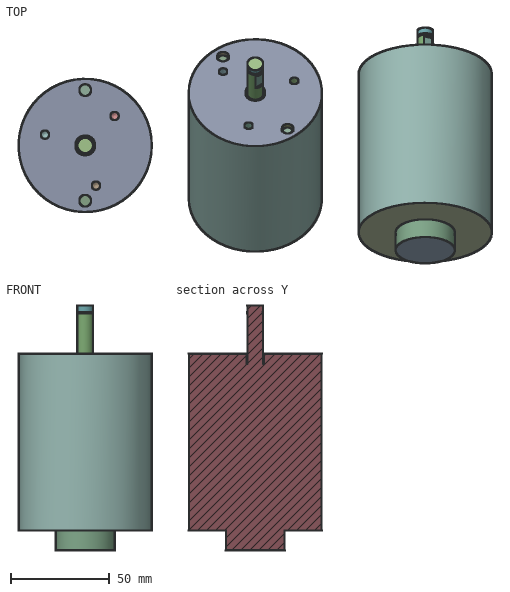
import cadquery as cq
import math

overall_height = 123.9
boss_height = 10.0
shaft_length = 24.4
body_height = overall_height - boss_height - shaft_length
body_top = boss_height + body_height

body_diameter = 67.5
boss_diameter = 30.0
shaft_diameter = 8.0

recess_diameter = 10.0
recess_depth = 0.1
bore_diameter = 8.8
bore_depth = 5.0

pin_hole_diameter = 6.0
pin_hole_depth = 3.0
pin_hole_offset = 28.0

mount_hole_diameter = 4.2
mount_hole_depth = 10.0
mount_circle_radius = 21.1
mount_first_angle = 45.0
mount_hole_count = 3
drill_point_angle = 118.0

ring_groove_offset = 3.2
ring_groove_width = 0.7
ring_groove_depth = 0.1

flat_offset = 5.0
flat_length = 10.0
flat_depth = 0.7


def cylinder(diameter, base_z, height):
    """Cylinder on the Z axis, starting at base_z."""
    base = cq.Workplane("XY").workplane(offset=base_z)
    return base.circle(diameter / 2).extrude(height)


def drilled_hole(diameter, depth):
    """Blind hole below the body top, ending in a conical drill point."""
    radius = diameter / 2
    point_height = radius / math.tan(math.radians(drill_point_angle / 2))
    profile = [
        (0, body_top),
        (radius, body_top),
        (radius, body_top - depth),
        (0, body_top - depth - point_height),
    ]
    return cq.Workplane("XZ").polyline(profile).close().revolve(360, (0, 0, 0), (0, 1, 0))


def make_body():
    """Housing with its rear boss and the holes in its top face."""
    body = cylinder(body_diameter, boss_height, body_height)
    body = body.union(cylinder(boss_diameter, 0, boss_height))
    body = body.cut(cylinder(recess_diameter, body_top - recess_depth, recess_depth))
    body = body.cut(cylinder(bore_diameter, body_top - bore_depth, bore_depth))

    pin_hole = cylinder(pin_hole_diameter, body_top - pin_hole_depth, pin_hole_depth)
    for side in (-1, 1):
        body = body.cut(pin_hole.translate((0, side * pin_hole_offset, 0)))

    mount_hole = drilled_hole(mount_hole_diameter, mount_hole_depth)
    for index in range(mount_hole_count):
        angle = math.radians(mount_first_angle + index * 360 / mount_hole_count)
        x = mount_circle_radius * math.cos(angle)
        y = mount_circle_radius * math.sin(angle)
        body = body.cut(mount_hole.translate((x, y, 0)))
    return body


def make_shaft():
    """Output shaft with a retaining ring groove and a side flat."""
    shaft = cylinder(shaft_diameter, body_top - bore_depth, bore_depth + shaft_length)
    groove_base = overall_height - ring_groove_offset - ring_groove_width
    groove_floor = cylinder(shaft_diameter - 2 * ring_groove_depth, groove_base, ring_groove_width)
    groove = cylinder(shaft_diameter, groove_base, ring_groove_width).cut(groove_floor)
    shaft = shaft.cut(groove)

    flat_cut = (
        cq.Workplane("XY")
        .box(shaft_diameter, flat_depth, flat_length, centered=(True, False, False))
        .translate((0, shaft_diameter / 2 - flat_depth, overall_height - flat_offset - flat_length))
    )
    return shaft.cut(flat_cut)


result = make_body().union(make_shaft())